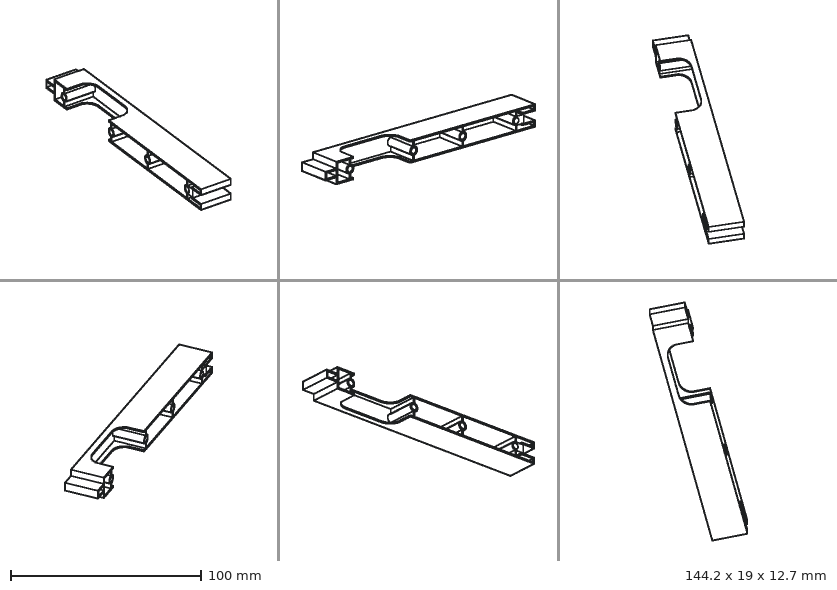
import cadquery as cq
import math

LENGTH = 144.2
DEPTH = 19.0
HEIGHT = 12.7
WALL = 0.9

TONGUE_LENGTH = 7.5
TONGUE_HEIGHT = 4.9

SLOT_LENGTH = 7.6
SLOT_HEIGHT = 5.3

HOLE_DIAMETER = 3.3
BOSS_DIAMETER = 5.0
RIB_THICKNESS = 0.9
BOSS_XS = (16.9, 60.7, 94.4, 131.3)

CUTOUT_START = 19.3
CUTOUT_END = 58.2
CUTOUT_DEPTH = 15.3
CORNER_RADIUS = 7.5
CORNER_DEPTH = 5.6

FLOOR_Y = DEPTH - WALL
SLOT_START = LENGTH - SLOT_LENGTH


def block(x_start, x_end, height, y_end=DEPTH):
    """Box centred on Z = 0 between the given X limits, from the open side to y_end."""
    return (
        cq.Workplane("XY")
        .box(x_end - x_start, y_end, height, centered=(False, False, True))
        .translate((x_start, 0, 0))
    )


def cylinder(x, diameter):
    """Cylinder along Y through the full depth."""
    return cq.Workplane("XZ", origin=(x, 0, 0)).circle(diameter / 2).extrude(-DEPTH)


def make_tray():
    """Body with tongue and slot, hollowed from the open side to an even wall."""
    outer = block(TONGUE_LENGTH, LENGTH, HEIGHT)
    outer = outer.union(block(0, TONGUE_LENGTH + WALL, TONGUE_HEIGHT))

    cavity = block(TONGUE_LENGTH + WALL, LENGTH - WALL, HEIGHT - 2 * WALL, y_end=FLOOR_Y)

    slot_lining = block(SLOT_START - WALL, LENGTH, SLOT_HEIGHT + 2 * WALL)
    cavity = cavity.cut(slot_lining)

    tongue_cavity = block(WALL, TONGUE_LENGTH, TONGUE_HEIGHT - 2 * WALL, y_end=FLOOR_Y)

    slot = block(SLOT_START, LENGTH, SLOT_HEIGHT)
    return outer.cut(cavity).cut(tongue_cavity).cut(slot)


def make_boss(x):
    """Full-depth boss with a rib joining it to both flanges."""
    rib = block(x - RIB_THICKNESS / 2, x + RIB_THICKNESS / 2, HEIGHT)
    return cylinder(x, BOSS_DIAMETER).union(rib)


def make_cutout():
    """Opening through both flanges; each inner corner is an arc that runs smoothly into the back edge."""
    arc_start_y = CUTOUT_DEPTH - CORNER_DEPTH
    corner_width = math.sqrt(CORNER_RADIUS**2 - (CORNER_RADIUS - CORNER_DEPTH) ** 2)
    return (
        cq.Workplane("XY", origin=(0, 0, -HEIGHT / 2))
        .moveTo(CUTOUT_START, 0)
        .lineTo(CUTOUT_START, arc_start_y)
        .radiusArc((CUTOUT_START + corner_width, CUTOUT_DEPTH), CORNER_RADIUS)
        .lineTo(CUTOUT_END - corner_width, CUTOUT_DEPTH)
        .radiusArc((CUTOUT_END, arc_start_y), CORNER_RADIUS)
        .lineTo(CUTOUT_END, 0)
        .close()
        .extrude(HEIGHT)
    )


result = make_tray().cut(make_cutout())
for boss_x in BOSS_XS:
    result = result.union(make_boss(boss_x))

result = result.union(block(BOSS_XS[-1], SLOT_START, BOSS_DIAMETER))

for boss_x in BOSS_XS:
    result = result.cut(cylinder(boss_x, HOLE_DIAMETER))